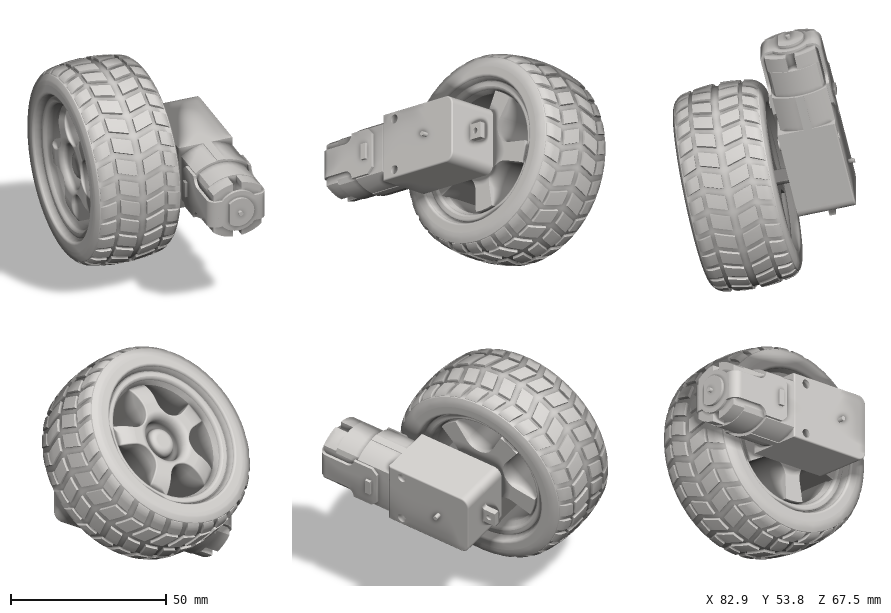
import cadquery as cq
import math


TYRE_HALF_WIDTH = 15.0
CROWN_RADIUS = 32.8
CREASE_RADIUS = 30.8
CREASE_Y = 14.0
SIDEWALL_RADIUS = 27.55
SHOULDER_ROUNDING = 5.05
SEAT_RADIUS = 23.25
TYRE_BEAD_RADIUS = 23.5
TYRE_LIP_RADIUS = 25.15
TYRE_LIP_FILLET = 0.8

TREAD_COUNT = 30
TREAD_HEIGHT = 1.0
TREAD_BEND_Y = 11.0
TREAD_BEND_ROUNDING = 4.1
TREAD_END_RADIUS = 31.0
TREAD_ROOT = 28.95
TREAD_TOP = 37.2
TREAD_PHASE = 3.0
INNER_ROW = (1.3, 7.5, 2.1, 0.0, 4.6)
OUTER_ROW = (8.9, 13.65, 0.5, 2.1, 4.5)

RIM_HALF_WIDTH = 12.5
RIM_EDGE_FILLET = 0.25
RIM_BORE_RADIUS = 19.85
RIM_MOUTH_RADIUS = 21.7
RIM_CONE_RADIUS = 20.8
RIM_CONE_Y = -11.25
RIM_MOUTH_BULGE = (0.25, 0.5)

DOME_FACE_Y = -10.0
DOME_FACE_RADIUS = 2.5
DOME_RADIUS = 5.0
WELL_RADIUS = 14.5 / 2
HUB_FACE_Y = -12.0
HUB_ROUNDING = 2.5
SPOKE_BEND_RADIUS = 12.65
SPOKE_BEND_SWEEP = 11.3
SPOKE_OVERLAP = 0.4

SPOKE_COUNT = 5
WINDOW_ANGLE = 84.7
WINDOW_INNER_RADIUS = 9.3
WINDOW_END_RADIUS = 5.9
WINDOW_HALF_ANGLE = 31.5
WINDOW_REACH = 24.8
WINDOW_EDGE_FILLET = 0.4

SHAFT_DIAMETER = 5.0
SHAFT_FLATS = 3.0
SHAFT_ANGLE = 40.0
SHAFT_START_Y = 3.3
SHAFT_END_Y = 24.8

SPLIT_Y = 27.7
GEARBOX_FRONT_Y = 17.7
GEARBOX_REAR_Y = 36.7
GEARBOX_LEFT = -11.0
GEARBOX_HALF_HEIGHT = 11.2
GEARBOX_CORNER = 3.0
GEARBOX_REAR_FILLET = 0.5

CRADLE_START = 20.0
CRADLE_END = 32.0
CRADLE_HALF_WIDTH = 9.0
CRADLE_TOP = 11.0
CRADLE_SHOULDER = 7.95
CRADLE_RIB_WIDTH = 2.8

TAB_LENGTH = 5.0
TAB_HALF_HEIGHT = 2.6
TAB_THICKNESS = 2.1
TAB_ROOT_FILLET = 1.0
TAB_HOLE = 2.0
TAB_HOLE_X = -13.65

COLLAR_DIAMETER = 6.0
COLLAR_HEIGHT = 0.25
PEG_DIAMETER = 4.0
PEG_X = 11.25
PEG_HEIGHT = 1.5
REAR_PIN_DIAMETER = 1.5
REAR_PIN_X = 0.5
REAR_PIN_HEIGHT = 2.1
MOUNT_HOLE = 3.0
MOUNT_X = 14.9
MOUNT_Z = 8.6
SCREW_HOLE = 2.0
SCREW_HEAD = 4.0
SCREW_HEAD_DEPTH = 1.0
SCREW_X = 17.4
SCREW_Z = 6.6

MOTOR_START = 21.0
MOTOR_END = 40.95
MOTOR_HALF_WIDTH = 8.35
MOTOR_TOP = 10.1
MOTOR_SHOULDER = (7.7, 7.6)
MOTOR_SIDE_HALF_HEIGHT = 5.9
MOTOR_SHAFT_DIAMETER = 1.5
MOTOR_SHAFT_END = 49.1

CAP_END = 45.8
CAP_TOP = 9.85
CAP_SHOULDER = 6.9
CAP_SLOT_WIDTH = 3.0
CAP_SLOT_CENTRE = 7.6
CAP_BOSS_DIAMETER = 10.0
CAP_BOSS_END = 47.9
CAP_BOSS_FLAT = 3.5

STRAP_THICKNESS = 1.0
STRAP_BEND = 3.0
STRAP_RING = 14.5
STRAP_PAD_START = 24.0
STRAP_PAD_END = 33.0
STRAP_PAD_CORNER = 2.0
STRAP_NECK_FILLET = 3.0
STRAP_HALF_HEIGHT = 4.6
STRAP_PAD_HALF_HEIGHT = STRAP_HALF_HEIGHT + STRAP_NECK_FILLET

LUG_START = 26.0
LUG_END = 28.0
LUG_HALF_HEIGHT = 2.65
LUG_HEIGHT = 2.0

DIAGONAL = math.sqrt(0.5)


def revolve_profile(profile):
    """Turn a closed (radius, y) profile once around the wheel axis."""
    return profile.close().revolve(360, (0, 0, 0), (0, 1, 0))


def turn(shape, angle):
    """Turn a shape around the wheel axis."""
    return shape.rotate((0, 0, 0), (0, 1, 0), angle)


def cylinder_y(diameter, y_from, y_to, x=0.0, z=0.0):
    """Round bar along Y."""
    plane = cq.Plane(origin=(x, y_from, z), xDir=(1, 0, 0), normal=(0, 1, 0))
    return cq.Workplane(plane).circle(diameter / 2).extrude(y_to - y_from)


def box(x_range, y_range, z_range):
    """Block between the given limits."""
    low, high = zip(x_range, y_range, z_range)
    size = [b - a for a, b in zip(low, high)]
    return cq.Workplane("XY").box(*size, centered=False).translate(low)


def motor_plane(x):
    """Cross-section plane of the motor: local x is +Y, local y is +Z."""
    return cq.Workplane(cq.Plane(origin=(x, SPLIT_Y, 0), xDir=(0, 1, 0), normal=(1, 0, 0)))


def arched_section(x, half_width, top, shoulder):
    """Section with flat sides and arched top and bottom."""
    return (
        motor_plane(x)
        .moveTo(-half_width, -shoulder)
        .lineTo(-half_width, shoulder)
        .threePointArc((0, top), (half_width, shoulder))
        .lineTo(half_width, -shoulder)
        .threePointArc((0, -top), (-half_width, -shoulder))
        .close()
    )


def crown_at(y):
    """Carcass radius at a distance y from mid-width, on the arc through both creases."""
    drop = CROWN_RADIUS - CREASE_RADIUS
    sweep = (CREASE_Y**2 + drop**2) / (2 * drop)
    return CROWN_RADIUS - sweep + math.sqrt(sweep**2 - y**2)


def make_carcass():
    seat_y = RIM_HALF_WIDTH - RIM_EDGE_FILLET
    cone_end = (TYRE_LIP_RADIUS - TYRE_LIP_FILLET, TYRE_HALF_WIDTH - TYRE_LIP_FILLET)
    lip_reach = TYRE_LIP_FILLET * DIAGONAL
    lip_middle = (TYRE_LIP_RADIUS - lip_reach, cone_end[1] + lip_reach)
    profile = (
        cq.Workplane("XY")
        .moveTo(SEAT_RADIUS, seat_y)
        .lineTo(SEAT_RADIUS, -seat_y)
        .lineTo(TYRE_BEAD_RADIUS, -seat_y)
        .lineTo(cone_end[0], -cone_end[1])
        .threePointArc((lip_middle[0], -lip_middle[1]), (TYRE_LIP_RADIUS, -TYRE_HALF_WIDTH))
        .lineTo(SIDEWALL_RADIUS, -TYRE_HALF_WIDTH)
        .radiusArc((CREASE_RADIUS, -CREASE_Y), -SHOULDER_ROUNDING)
        .threePointArc((CROWN_RADIUS, 0), (CREASE_RADIUS, CREASE_Y))
        .radiusArc((SIDEWALL_RADIUS, TYRE_HALF_WIDTH), -SHOULDER_ROUNDING)
        .lineTo(TYRE_LIP_RADIUS, TYRE_HALF_WIDTH)
        .threePointArc(lip_middle, cone_end)
        .lineTo(TYRE_BEAD_RADIUS, seat_y)
    )
    return revolve_profile(profile)


def make_tread_envelope():
    """Solid of revolution that bounds the tops of all tread blocks."""
    end_y = OUTER_ROW[1]
    bend = crown_at(TREAD_BEND_Y) + TREAD_HEIGHT
    profile = (
        cq.Workplane("XY")
        .moveTo(0, -end_y)
        .lineTo(TREAD_END_RADIUS, -end_y)
        .radiusArc((bend, -TREAD_BEND_Y), -TREAD_BEND_ROUNDING)
        .threePointArc((CROWN_RADIUS + TREAD_HEIGHT, 0), (bend, TREAD_BEND_Y))
        .radiusArc((TREAD_END_RADIUS, end_y), -TREAD_BEND_ROUNDING)
        .lineTo(0, end_y)
    )
    return revolve_profile(profile)


def make_tread_block(row):
    """One slanted block on the top of the wheel, on the +Y side."""
    near, far, near_middle, far_middle, length = row
    half = length / 2
    outline = [
        (near_middle - half, near),
        (near_middle + half, near),
        (far_middle + half, far),
        (far_middle - half, far),
    ]
    prism = cq.Workplane("XY", origin=(0, 0, TREAD_ROOT)).polyline(outline).close()
    return prism.extrude(TREAD_TOP - TREAD_ROOT).intersect(make_tread_envelope())


def make_tyre():
    blocks = []
    for row in (INNER_ROW, OUTER_ROW):
        block = make_tread_block(row)
        for side in (block, block.mirror("XZ")):
            for i in range(TREAD_COUNT):
                blocks.append(turn(side, TREAD_PHASE + i * 360 / TREAD_COUNT).val())
    return cq.Workplane(make_carcass().val().fuse(*blocks))


def spoke_bend_y(radius):
    """Front of a spoke at a radius beyond the bend."""
    run = radius - SPOKE_BEND_RADIUS
    return HUB_FACE_Y + SPOKE_BEND_SWEEP - math.sqrt(SPOKE_BEND_SWEEP**2 - run**2)


def make_rim_ring():
    fillet_reach = RIM_EDGE_FILLET * (1 - DIAGONAL)
    mouth_middle = (RIM_CONE_RADIUS + RIM_MOUTH_BULGE[0], -RIM_HALF_WIDTH + RIM_MOUTH_BULGE[1])
    profile = (
        cq.Workplane("XY")
        .moveTo(RIM_BORE_RADIUS, 0)
        .lineTo(RIM_BORE_RADIUS, spoke_bend_y(RIM_BORE_RADIUS))
        .lineTo(RIM_CONE_RADIUS, RIM_CONE_Y)
        .threePointArc(mouth_middle, (RIM_MOUTH_RADIUS, -RIM_HALF_WIDTH))
        .lineTo(SEAT_RADIUS - RIM_EDGE_FILLET, -RIM_HALF_WIDTH)
        .threePointArc(
            (SEAT_RADIUS - fillet_reach, -RIM_HALF_WIDTH + fillet_reach),
            (SEAT_RADIUS, -RIM_HALF_WIDTH + RIM_EDGE_FILLET),
        )
        .lineTo(SEAT_RADIUS, 0)
    )
    half = revolve_profile(profile)
    return half.union(half.mirror("XZ"))


def make_hub_disc():
    """Hub with its dome and well, and the bent disc that the spokes are cut from."""
    outer = RIM_BORE_RADIUS + SPOKE_OVERLAP
    bend_middle = (SPOKE_BEND_RADIUS + outer) / 2
    dome_wall_y = DOME_FACE_Y + DOME_RADIUS - DOME_FACE_RADIUS
    dome_reach = (DOME_RADIUS - DOME_FACE_RADIUS) * DIAGONAL
    groove_radius = (WELL_RADIUS - DOME_RADIUS) / 2
    hub_reach = HUB_ROUNDING * DIAGONAL
    lip_y = HUB_FACE_Y + HUB_ROUNDING
    lip_radius = WELL_RADIUS + HUB_ROUNDING
    profile = (
        cq.Workplane("XY")
        .moveTo(0, RIM_HALF_WIDTH)
        .lineTo(0, DOME_FACE_Y)
        .lineTo(DOME_FACE_RADIUS, DOME_FACE_Y)
        .threePointArc((DOME_FACE_RADIUS + dome_reach, dome_wall_y - dome_reach), (DOME_RADIUS, dome_wall_y))
        .threePointArc((DOME_RADIUS + groove_radius, dome_wall_y + groove_radius), (WELL_RADIUS, dome_wall_y))
        .lineTo(WELL_RADIUS, lip_y)
        .threePointArc((lip_radius - hub_reach, lip_y - hub_reach), (lip_radius, HUB_FACE_Y))
        .lineTo(SPOKE_BEND_RADIUS, HUB_FACE_Y)
        .threePointArc((bend_middle, spoke_bend_y(bend_middle)), (outer, spoke_bend_y(outer)))
        .lineTo(outer, RIM_HALF_WIDTH)
    )
    return revolve_profile(profile)


def make_window():
    """Window between two spokes: two straight sides tangent to a round inner end."""
    spread = math.radians(WINDOW_HALF_ANGLE)
    centre = WINDOW_INNER_RADIUS + WINDOW_END_RADIUS
    tangent = (centre - WINDOW_END_RADIUS * math.sin(spread), WINDOW_END_RADIUS * math.cos(spread))
    far_half = tangent[1] + (WINDOW_REACH - tangent[0]) * math.tan(spread)
    plane = cq.Plane(origin=(0, RIM_HALF_WIDTH, 0), xDir=(1, 0, 0), normal=(0, -1, 0))
    window = (
        cq.Workplane(plane)
        .moveTo(WINDOW_REACH, -far_half)
        .lineTo(tangent[0], -tangent[1])
        .threePointArc((WINDOW_INNER_RADIUS, 0), tangent)
        .lineTo(WINDOW_REACH, far_half)
        .close()
        .extrude(2 * RIM_HALF_WIDTH)
    )
    return turn(window, -WINDOW_ANGLE)


def is_window_rim(edge):
    """True for the front edges of the windows, and false for the circles around the hub."""
    if edge.Center().y > 0:
        return False
    if edge.geomType() == "CIRCLE":
        return abs(edge.radius() - WINDOW_END_RADIUS) < 0.01
    return edge.geomType() == "BSPLINE"


def make_spider():
    """Hub and spokes."""
    spider = make_hub_disc()
    window = make_window()
    for i in range(SPOKE_COUNT):
        spider = spider.cut(turn(window, i * 360 / SPOKE_COUNT))
    return spider.edges().filter(is_window_rim).fillet(WINDOW_EDGE_FILLET)


def make_rim(shaft):
    return make_rim_ring().union(make_spider()).cut(shaft)


def make_shaft():
    """Round bar with two flats."""
    bar = cylinder_y(SHAFT_DIAMETER, SHAFT_START_Y, SHAFT_END_Y)
    slab = box(
        (-SHAFT_DIAMETER, SHAFT_DIAMETER),
        (SHAFT_START_Y, SHAFT_END_Y),
        (-SHAFT_FLATS / 2, SHAFT_FLATS / 2),
    )
    return bar.intersect(turn(slab, -SHAFT_ANGLE))


def make_motor():
    side, height = MOTOR_SHOULDER
    can = (
        motor_plane(MOTOR_START)
        .moveTo(-MOTOR_HALF_WIDTH, -MOTOR_SIDE_HALF_HEIGHT)
        .lineTo(-MOTOR_HALF_WIDTH, MOTOR_SIDE_HALF_HEIGHT)
        .lineTo(-side, height)
        .threePointArc((0, MOTOR_TOP), (side, height))
        .lineTo(MOTOR_HALF_WIDTH, MOTOR_SIDE_HALF_HEIGHT)
        .lineTo(MOTOR_HALF_WIDTH, -MOTOR_SIDE_HALF_HEIGHT)
        .lineTo(side, -height)
        .threePointArc((0, -MOTOR_TOP), (-side, -height))
        .close()
        .extrude(MOTOR_END - MOTOR_START)
    )
    shaft = motor_plane(MOTOR_END).circle(MOTOR_SHAFT_DIAMETER / 2).extrude(MOTOR_SHAFT_END - MOTOR_END)
    return can.union(shaft)


def make_cap(motor):
    """End cap with a slot above and below, and a boss with one flat."""
    length = CAP_END - MOTOR_END
    body = arched_section(MOTOR_END, MOTOR_HALF_WIDTH, CAP_TOP, CAP_SHOULDER).extrude(length)
    slot_length = 2 * (CAP_TOP - CAP_SLOT_CENTRE) + CAP_SLOT_WIDTH
    slots = (
        motor_plane(MOTOR_END)
        .pushPoints([(0, CAP_TOP), (0, -CAP_TOP)])
        .slot2D(slot_length, CAP_SLOT_WIDTH, 90)
        .extrude(length)
    )
    boss_radius = CAP_BOSS_DIAMETER / 2
    boss = motor_plane(CAP_END).circle(boss_radius).extrude(CAP_BOSS_END - CAP_END)
    flat = box(
        (CAP_END + STRAP_THICKNESS, CAP_BOSS_END),
        (SPLIT_Y - boss_radius, SPLIT_Y - CAP_BOSS_FLAT),
        (-boss_radius, boss_radius),
    )
    return body.cut(slots).union(boss.cut(flat)).cut(motor)


def make_strap_band():
    """U-shaped band around the end of the motor."""
    outside = CRADLE_HALF_WIDTH + STRAP_THICKNESS
    height = (-STRAP_HALF_HEIGHT, STRAP_HALF_HEIGHT)
    outer = box(
        (STRAP_PAD_END, CAP_END + STRAP_THICKNESS),
        (SPLIT_Y - outside, SPLIT_Y + outside),
        height,
    )
    inner = box(
        (STRAP_PAD_END, CAP_END),
        (SPLIT_Y - CRADLE_HALF_WIDTH, SPLIT_Y + CRADLE_HALF_WIDTH),
        height,
    )
    outer = outer.edges(">X and |Z").fillet(STRAP_BEND)
    return outer.cut(inner.edges(">X and |Z").fillet(STRAP_BEND - STRAP_THICKNESS))


def make_strap_pads():
    """Wide ends of both arms, narrowing to the band in concave fillets."""
    outside = CRADLE_HALF_WIDTH + STRAP_THICKNESS
    plane = cq.Plane(origin=(0, SPLIT_Y + outside, 0), xDir=(1, 0, 0), normal=(0, -1, 0))
    neck_end = STRAP_PAD_END + STRAP_NECK_FILLET
    reach = STRAP_NECK_FILLET * (1 - DIAGONAL)
    middle = (STRAP_PAD_END + reach, STRAP_HALF_HEIGHT + reach)
    solid = (
        cq.Workplane(plane)
        .moveTo(STRAP_PAD_START, -STRAP_PAD_HALF_HEIGHT)
        .lineTo(STRAP_PAD_START, STRAP_PAD_HALF_HEIGHT)
        .lineTo(STRAP_PAD_END, STRAP_PAD_HALF_HEIGHT)
        .threePointArc(middle, (neck_end, STRAP_HALF_HEIGHT))
        .lineTo(neck_end, -STRAP_HALF_HEIGHT)
        .threePointArc((middle[0], -middle[1]), (STRAP_PAD_END, -STRAP_PAD_HALF_HEIGHT))
        .close()
        .extrude(2 * outside)
        .edges("<X and |Y")
        .chamfer(STRAP_PAD_CORNER)
    )
    gap = box(
        (STRAP_PAD_START, neck_end),
        (SPLIT_Y - CRADLE_HALF_WIDTH, SPLIT_Y + CRADLE_HALF_WIDTH),
        (-STRAP_PAD_HALF_HEIGHT, STRAP_PAD_HALF_HEIGHT),
    )
    return solid.cut(gap)


def make_strap(lugs):
    ring = motor_plane(CAP_END).circle(STRAP_RING / 2).extrude(STRAP_THICKNESS)
    hole = motor_plane(CAP_END).circle(CAP_BOSS_DIAMETER / 2).extrude(STRAP_THICKNESS)
    return make_strap_band().union(make_strap_pads()).union(ring).cut(hole).cut(lugs)


def make_lugs():
    """Bar that leaves a lug on each side of the cradle, to hook the strap."""
    reach = CRADLE_HALF_WIDTH + LUG_HEIGHT
    return box((LUG_START, LUG_END), (SPLIT_Y - reach, SPLIT_Y + reach), (-LUG_HALF_HEIGHT, LUG_HALF_HEIGHT))


def make_tab():
    """Mounting tab on the -X end, widening at its root."""
    tip = GEARBOX_LEFT - TAB_LENGTH
    root_half = TAB_HALF_HEIGHT + TAB_ROOT_FILLET
    root_start = GEARBOX_LEFT - TAB_ROOT_FILLET
    reach = TAB_ROOT_FILLET * DIAGONAL
    middle = (root_start + reach, root_half - reach)
    plane = cq.Plane(origin=(0, SPLIT_Y + TAB_THICKNESS / 2, 0), xDir=(1, 0, 0), normal=(0, -1, 0))
    tab = (
        cq.Workplane(plane)
        .moveTo(tip, -TAB_HALF_HEIGHT)
        .lineTo(tip, TAB_HALF_HEIGHT)
        .lineTo(root_start, TAB_HALF_HEIGHT)
        .threePointArc(middle, (GEARBOX_LEFT, root_half))
        .lineTo(GEARBOX_LEFT, -root_half)
        .threePointArc((middle[0], -middle[1]), (root_start, -TAB_HALF_HEIGHT))
        .close()
        .extrude(TAB_THICKNESS)
    )
    return tab.cut(cylinder_y(TAB_HOLE, SPLIT_Y - TAB_THICKNESS, SPLIT_Y + TAB_THICKNESS, TAB_HOLE_X))


def make_case():
    """Main block of the gearbox with its pegs."""
    block = box(
        (GEARBOX_LEFT, CRADLE_START),
        (GEARBOX_FRONT_Y, GEARBOX_REAR_Y),
        (-GEARBOX_HALF_HEIGHT, GEARBOX_HALF_HEIGHT),
    )
    block = block.edges("<X and |Y").fillet(GEARBOX_CORNER)
    block = block.faces(">Y").edges().fillet(GEARBOX_REAR_FILLET)
    collar = cylinder_y(COLLAR_DIAMETER, GEARBOX_FRONT_Y - COLLAR_HEIGHT, GEARBOX_FRONT_Y)
    peg = cylinder_y(PEG_DIAMETER, GEARBOX_FRONT_Y - PEG_HEIGHT, GEARBOX_FRONT_Y, PEG_X)
    rear_pin = cylinder_y(REAR_PIN_DIAMETER, GEARBOX_REAR_Y, GEARBOX_REAR_Y + REAR_PIN_HEIGHT, REAR_PIN_X)
    return block.union(collar).union(peg).union(rear_pin)


def make_cradle():
    """Arched sleeve around the motor, with a flat rib along its top and bottom."""
    length = CRADLE_END - CRADLE_START
    body = arched_section(CRADLE_START, CRADLE_HALF_WIDTH, CRADLE_TOP, CRADLE_SHOULDER).extrude(length)
    rib = motor_plane(CRADLE_START).rect(CRADLE_RIB_WIDTH, 2 * GEARBOX_HALF_HEIGHT).extrude(length)
    return body.union(rib)


def make_fastener_holes():
    """Mounting holes and recessed screw holes, above and below the motor axis."""
    holes = cq.Workplane("XY")
    head_end = GEARBOX_FRONT_Y + SCREW_HEAD_DEPTH
    for side in (1, -1):
        mount = cylinder_y(MOUNT_HOLE, GEARBOX_FRONT_Y, GEARBOX_REAR_Y, MOUNT_X, side * MOUNT_Z)
        screw = cylinder_y(SCREW_HOLE, GEARBOX_FRONT_Y, SPLIT_Y, SCREW_X, side * SCREW_Z)
        head = cylinder_y(SCREW_HEAD, GEARBOX_FRONT_Y, head_end, SCREW_X, side * SCREW_Z)
        holes = holes.add(mount).add(screw).add(head)
    return holes.combine()


def make_gearbox(shaft, motor, lugs):
    """Both halves of the gearbox in one piece."""
    gearbox = make_case().union(make_cradle()).union(make_tab()).union(lugs)
    return gearbox.cut(make_fastener_holes()).cut(shaft).cut(motor)


def take_half(gearbox, y_from, y_to):
    """Part of the gearbox between two planes across Y."""
    span = (-41.4, 41.4)
    return gearbox.intersect(box(span, (y_from, y_to), span))


tyre = make_tyre()
output_shaft = make_shaft()
rim = make_rim(output_shaft)
motor = make_motor()
end_cap = make_cap(motor)
lugs = make_lugs()
strap = make_strap(lugs)
gearbox = make_gearbox(output_shaft, motor, lugs)
front_half = take_half(gearbox, 0.0, SPLIT_Y)
rear_half = take_half(gearbox, SPLIT_Y, 82.7)

bodies = [tyre, rim, output_shaft, front_half, rear_half, motor, end_cap, strap]
result = cq.Compound.makeCompound([body.val() for body in bodies])